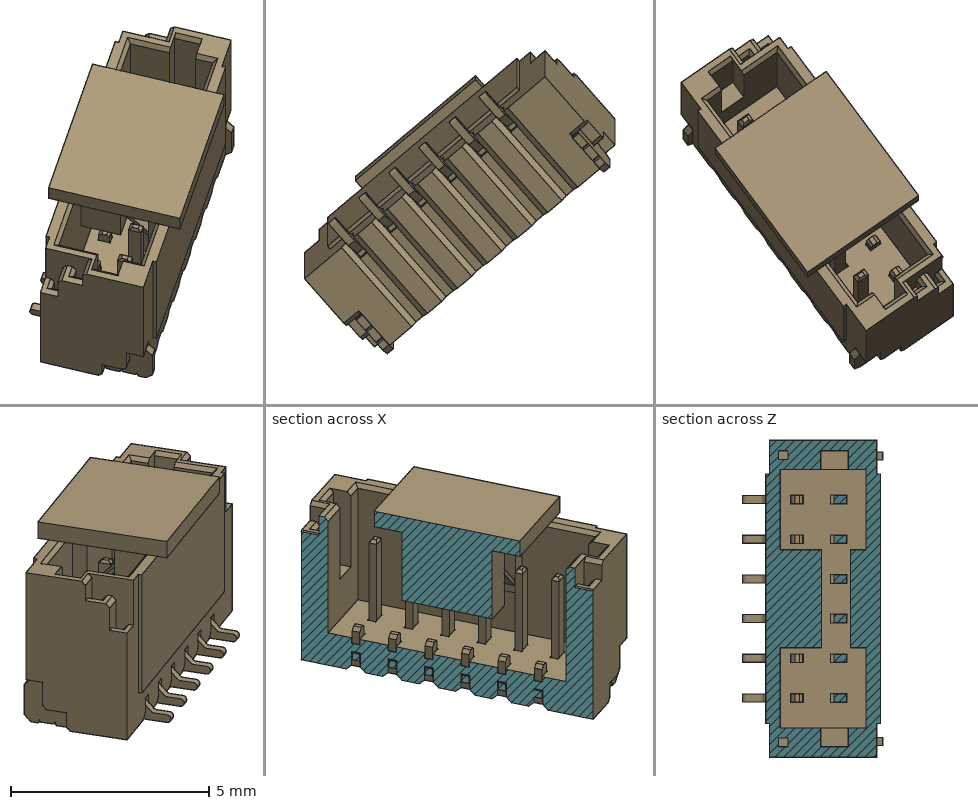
import cadquery as cq


HOUSING_X = 2.7
HOUSING_Y = 8.0
HOUSING_BOTTOM = 0.052
HOUSING_TOP = 4.3
HALF_X = HOUSING_X / 2
HALF_Y = HOUSING_Y / 2
PANEL_X = 2.9
PANEL_Y = 6.3
PANEL_BOTTOM = 0.99

CAVITY_X = 2.16
CAVITY_Y = 6.51
CAVITY_FLOOR = PANEL_BOTTOM
BEVEL = 0.1
KEYWAY_LEFT = -0.06
KEYWAY_RIGHT = 0.63
KEYWAY_END = 3.73
KEYWAY_FLOOR = 2.16

NOTCH_DEPTH = 0.49
UPPER_SHORT_RUN = 0.46
UPPER_LONG_RUN = 1.11
UPPER_SHORT_RISE = 0.53
LOWER_SHORT_RUN = 0.45
LOWER_LONG_RUN = 1.08
LOWER_SHORT_RISE = 0.5
LONG_RISE = 1.26
STAIR_CHAMFER = 0.1
NOTCH_FLOOR_Y = HALF_Y - NOTCH_DEPTH

POCKET_MARGIN = 0.23
POCKET_DEPTH = LONG_RISE - UPPER_SHORT_RISE

PIN_COUNT = 6
PITCH = 1.0
CONTACT_Y = 0.21
PIN_LEFT = 0.27
PIN_RIGHT = 0.6
PIN_TOP = 3.25
PIN_TIP_BEVEL = (0.09, 0.05)
PIN_TIP_HEIGHT = 0.08
STUB_LEFT = -0.81
STUB_RIGHT = -0.52
STUB_HEIGHT = 0.29
STUB_CHAMFERS = (0.1, 0.07)

SOCKET_Y = 0.22
SOCKET_DEPTH = 0.16
STUB_SOCKET = (-0.82, -0.5)
PIN_SOCKET = (0.19, 0.61)

FOOT_TIP = -2.03
FOOT_THICKNESS = 0.22
BEND_RADIUS = 0.09
FOOT_BEND_TOP = -1.54
FOOT_BEND_BOTTOM = -1.28
ARM_TOP = 0.57
ARM_BOTTOM = 0.35
SLOT_Y = 0.23
SLOT_TOP = 0.59
SLOT_END = STUB_LEFT
FLARE_Y = 0.53
FLARE_TOP = 0.19

CLIP_THICKNESS = 0.21
CLIP_INSET = 0.3
CLIP_RIGHT = 1.5
CLIP_CHAMFER = 0.18
CLIP_TOP = 1.2
CLIP_NECK = 1.1
CLIP_NECK_CHAMFER = 0.06
CLIP_TOE = 0.028
RECESS_LEFT = 0.65
RECESS_RIGHT = 1.13
RECESS_HEIGHT = 0.03
NICK_WIDTH = 0.06
NICK_HEIGHT = 0.1

CAP_LEFT = -1.71
CAP_RIGHT = 1.74
CAP_Y = 4.0
CAP_TOP = 4.75
LEG_Y = 2.48
LEG_BOTTOM = 2.34
LEFT_LEG_EDGE = -0.04
RIGHT_LEG_EDGE = 0.69
BRACE_Y = 2.42
BRACE_TOP = 3.42
BRACE_HEIGHT = 0.14


def block(x0, x1, y0, y1, z0, z1):
    """Box given by its limits."""
    return cq.Workplane("XY").box(x1 - x0, y1 - y0, z1 - z0, centered=False).translate((x0, y0, z0))


def xz_prism(points, y0, y1):
    """Outline in X and Z, extruded from y0 to y1."""
    return cq.Workplane("XZ", origin=(0, y1, 0)).polyline(points).close().extrude(y1 - y0)


def frustum(lower, upper, z0, z1):
    """Taper between two rectangles, each given as (x0, x1, y0, y1)."""
    loft = cq.Workplane("XY", origin=(0, 0, z0))
    previous = (0, 0)
    for (x0, x1, y0, y1), rise in ((lower, 0), (upper, z1 - z0)):
        centre = ((x0 + x1) / 2, (y0 + y1) / 2)
        if rise:
            loft = loft.workplane(offset=rise)
        loft = loft.center(centre[0] - previous[0], centre[1] - previous[1]).rect(x1 - x0, y1 - y0)
        previous = centre
    return loft.loft(combine=True)


def both_ends(solid):
    """The solid together with its mirror image at the other end."""
    return solid.union(solid.mirror("XZ"))


def stair_notch(edge_x, edge_z, direction, short_run, long_run, short_rise):
    """Two-step notch at a housing corner; direction +1 cuts right and down, -1 left and up."""
    steps = [
        (0, 0),
        (long_run + STAIR_CHAMFER, 0),
        (long_run, STAIR_CHAMFER),
        (long_run, short_rise),
        (short_run + STAIR_CHAMFER, short_rise),
        (short_run, short_rise + STAIR_CHAMFER),
        (short_run, LONG_RISE),
        (0, LONG_RISE),
    ]
    outline = [(edge_x + direction * run, edge_z - direction * rise) for run, rise in steps]
    return xz_prism(outline, NOTCH_FLOOR_Y, HALF_Y)


def tread_pocket(tread_start, tread_end, tread_z):
    """Pocket in a notch tread, bevelled along its outer side and its left side."""
    left = tread_start + POCKET_MARGIN
    hole = block(left, tread_end, NOTCH_FLOOR_Y, KEYWAY_END, tread_z - POCKET_DEPTH, tread_z)
    lip = frustum(
        (left, tread_end, NOTCH_FLOOR_Y, KEYWAY_END),
        (left - BEVEL, tread_end, NOTCH_FLOOR_Y, KEYWAY_END + BEVEL),
        tread_z - BEVEL,
        tread_z,
    )
    return hole.union(lip)


def cavity():
    half_x = CAVITY_X / 2
    half_y = CAVITY_Y / 2
    well = block(-half_x, half_x, -half_y, half_y, CAVITY_FLOOR, HOUSING_TOP)
    rim = frustum(
        (-half_x, half_x, -half_y, half_y),
        (-half_x - BEVEL, half_x + BEVEL, -half_y - BEVEL, half_y + BEVEL),
        HOUSING_TOP - BEVEL,
        HOUSING_TOP,
    )
    keyway = block(KEYWAY_LEFT, KEYWAY_RIGHT, 0, KEYWAY_END, KEYWAY_FLOOR, HOUSING_TOP)
    keyway_rim = frustum(
        (KEYWAY_LEFT, KEYWAY_RIGHT, 0, KEYWAY_END),
        (KEYWAY_LEFT, KEYWAY_RIGHT, 0, KEYWAY_END + BEVEL),
        HOUSING_TOP - BEVEL,
        HOUSING_TOP,
    )
    return well.union(rim).union(both_ends(keyway.union(keyway_rim)))


def foot_slot(y):
    """Slot for one solder foot, with a flared groove across the whole underside."""
    slot = block(-HALF_X, SLOT_END, y - SLOT_Y / 2, y + SLOT_Y / 2, HOUSING_BOTTOM, SLOT_TOP)
    flare = [
        (y - FLARE_Y / 2, HOUSING_BOTTOM),
        (y - SLOT_Y / 2, FLARE_TOP),
        (y + SLOT_Y / 2, FLARE_TOP),
        (y + FLARE_Y / 2, HOUSING_BOTTOM),
    ]
    groove = cq.Workplane("YZ", origin=(-HALF_X, 0, 0)).polyline(flare).close().extrude(HOUSING_X)
    return slot.union(groove)


def floor_socket(x_limits, y):
    left, right = x_limits
    bottom = CAVITY_FLOOR - SOCKET_DEPTH
    return block(left, right, y - SOCKET_Y / 2, y + SOCKET_Y / 2, bottom, CAVITY_FLOOR)


def contact(y):
    """Solder foot, arm and stub in one strip, and the mating pin."""
    back = y - CONTACT_Y / 2
    front = y + CONTACT_Y / 2
    stub_top = CAVITY_FLOOR + STUB_HEIGHT
    left_chamfer, right_chamfer = STUB_CHAMFERS
    tip_radius = FOOT_THICKNESS / 2
    outline = [
        (FOOT_TIP + tip_radius, 0),
        (FOOT_BEND_BOTTOM, 0),
        (FOOT_BEND_BOTTOM + ARM_BOTTOM, ARM_BOTTOM),
        (STUB_RIGHT, ARM_BOTTOM),
        (STUB_RIGHT, stub_top - right_chamfer),
        (STUB_RIGHT - right_chamfer, stub_top),
        (STUB_LEFT + left_chamfer, stub_top),
        (STUB_LEFT, stub_top - left_chamfer),
        (STUB_LEFT, ARM_TOP),
        (FOOT_BEND_TOP + ARM_TOP - FOOT_THICKNESS, ARM_TOP),
        (FOOT_BEND_TOP, FOOT_THICKNESS),
        (FOOT_TIP + tip_radius, FOOT_THICKNESS),
    ]
    strip = (
        cq.Workplane("XZ", origin=(0, front, 0))
        .polyline(outline)
        .threePointArc((FOOT_TIP, tip_radius), outline[0])
        .close()
        .extrude(CONTACT_Y)
    )
    bend = cq.selectors.NearestToPointSelector((FOOT_BEND_TOP, y, FOOT_THICKNESS))
    strip = strip.edges("|Y").edges(bend).fillet(BEND_RADIUS)
    tip_base = PIN_TOP - PIN_TIP_HEIGHT
    bevel_x, bevel_y = PIN_TIP_BEVEL
    shaft = block(PIN_LEFT, PIN_RIGHT, back, front, ARM_TOP, tip_base)
    tip = frustum(
        (PIN_LEFT, PIN_RIGHT, back, front),
        (PIN_LEFT + bevel_x, PIN_RIGHT - bevel_x, back + bevel_y, front - bevel_y),
        tip_base,
        PIN_TOP,
    )
    return strip, shaft.union(tip)


def clip():
    """Flat anchor clip that fills the lower notch and reaches past the housing side."""
    notch_top = HOUSING_BOTTOM + LONG_RISE
    tread_z = HOUSING_BOTTOM + LOWER_SHORT_RISE
    left = HALF_X - LOWER_LONG_RUN
    outer_y = HALF_Y - CLIP_INSET
    inner_y = outer_y - CLIP_THICKNESS
    return xz_prism(
        [
            (left, CLIP_TOE),
            (left + CLIP_TOE, 0),
            (RECESS_LEFT, 0),
            (RECESS_LEFT + NICK_WIDTH / 2, NICK_HEIGHT),
            (RECESS_LEFT + NICK_WIDTH, RECESS_HEIGHT),
            (RECESS_RIGHT - NICK_WIDTH, RECESS_HEIGHT),
            (RECESS_RIGHT - NICK_WIDTH / 2, NICK_HEIGHT),
            (RECESS_RIGHT, 0),
            (CLIP_RIGHT - CLIP_CHAMFER, 0),
            (CLIP_RIGHT, CLIP_CHAMFER),
            (CLIP_RIGHT, CLIP_TOP - CLIP_CHAMFER),
            (CLIP_RIGHT - CLIP_CHAMFER, CLIP_TOP),
            (CLIP_NECK + CLIP_NECK_CHAMFER, CLIP_TOP),
            (CLIP_NECK, CLIP_TOP + CLIP_NECK_CHAMFER),
            (CLIP_NECK, notch_top),
            (HALF_X - LOWER_SHORT_RUN, notch_top),
            (HALF_X - LOWER_SHORT_RUN, tread_z),
            (left, tread_z),
        ],
        inner_y,
        outer_y,
    )


def cap():
    plate = block(CAP_LEFT, CAP_RIGHT, -CAP_Y / 2, CAP_Y / 2, HOUSING_TOP, CAP_TOP)
    half_leg = LEG_Y / 2
    left_leg = block(-CAVITY_X / 2, LEFT_LEG_EDGE, -half_leg, half_leg, LEG_BOTTOM, HOUSING_TOP)
    right_leg = block(RIGHT_LEG_EDGE, CAVITY_X / 2, -half_leg, half_leg, LEG_BOTTOM, HOUSING_TOP)
    brace_end = BRACE_TOP - (RIGHT_LEG_EDGE - LEFT_LEG_EDGE)
    brace = xz_prism(
        [
            (LEFT_LEG_EDGE, BRACE_TOP),
            (RIGHT_LEG_EDGE, brace_end),
            (RIGHT_LEG_EDGE, brace_end - BRACE_HEIGHT),
            (LEFT_LEG_EDGE, BRACE_TOP - BRACE_HEIGHT),
        ],
        -BRACE_Y / 2,
        BRACE_Y / 2,
    )
    return plate.union(left_leg).union(right_leg).union(brace)


housing = block(-HALF_X, HALF_X, -HALF_Y, HALF_Y, HOUSING_BOTTOM, HOUSING_TOP)
housing = housing.union(
    block(-PANEL_X / 2, PANEL_X / 2, -PANEL_Y / 2, PANEL_Y / 2, PANEL_BOTTOM, HOUSING_TOP)
)
housing = housing.cut(cavity())

upper_notch = stair_notch(
    -HALF_X, HOUSING_TOP, 1, UPPER_SHORT_RUN, UPPER_LONG_RUN, UPPER_SHORT_RISE
)
lower_notch = stair_notch(
    HALF_X, HOUSING_BOTTOM, -1, LOWER_SHORT_RUN, LOWER_LONG_RUN, LOWER_SHORT_RISE
)
lower_pocket = tread_pocket(-HALF_X, UPPER_SHORT_RUN - HALF_X, HOUSING_TOP - LONG_RISE)
upper_pocket = tread_pocket(
    UPPER_SHORT_RUN + STAIR_CHAMFER - HALF_X, UPPER_LONG_RUN - HALF_X, HOUSING_TOP - UPPER_SHORT_RISE
)
for hollow in (upper_notch, lower_notch, lower_pocket, upper_pocket):
    housing = housing.cut(both_ends(hollow))

contact_rows = [(i - (PIN_COUNT - 1) / 2) * PITCH for i in range(PIN_COUNT)]
for row in contact_rows:
    housing = housing.cut(foot_slot(row))
    for socket in (STUB_SOCKET, PIN_SOCKET):
        housing = housing.cut(floor_socket(socket, row))

result = housing.union(both_ends(clip())).union(cap())
for row in contact_rows:
    for piece in contact(row):
        result = result.union(piece)